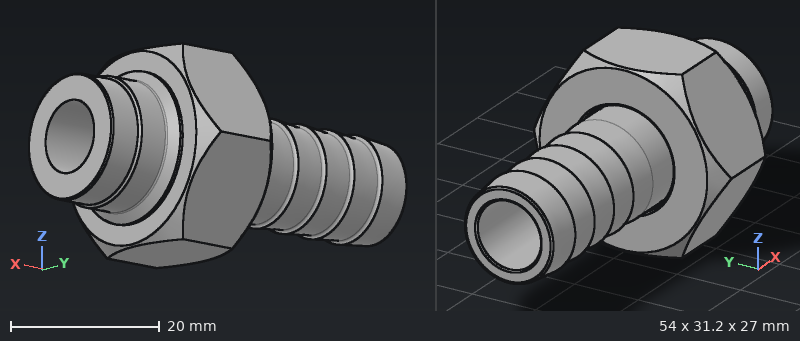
import cadquery as cq
import math

total_length = 54.0
bore_radius = 10.0 / 2
bore_chamfer = 0.25

barb_count = 5
barb_pitch = 4.95
barb_peak_radius = 15.0 / 2
barb_root_radius = 14.0 / 2
root_fillet_length = 0.45
tip_chamfer_length = 0.2
tip_chamfer_depth = 0.3

nut_start = 29.5
nut_length = 13.5
nut_end = nut_start + nut_length
across_flats = 27.0
across_corners = across_flats / math.cos(math.pi / 6)
nut_face_radius = 13.25
corner_clearance = 0.05
nut_hole_radius = 15.5 / 2
nut_hole_chamfer = 0.3
nut_wall = 3.25

collar_radius = 20.9 / 2
flange_start = nut_start + nut_wall
joint_x = flange_start + 3.25

collar_end = nut_end + 0.45
cone_slope = math.radians(50)
cone_blend_radius = 0.4
shoulder_radius = 18.0 / 2
shoulder_end = 49.0
spigot_radius = 17.2 / 2
shoulder_chamfer = shoulder_radius - spigot_radius
end_chamfer_length = 0.3
end_chamfer_depth = 0.15


def revolve_about_x(profile):
    """Revolve a closed (x, radius) profile around the X axis."""
    return profile.close().revolve(360, (0, 0, 0), (1, 0, 0))


def quarter_arc_middle(start, end):
    """Middle point of a hollow quarter arc that leaves start radially inward and reaches end along X."""
    reach = 1 - math.sqrt(0.5)
    return (
        start[0] + (end[0] - start[0]) * reach,
        end[1] + (start[1] - end[1]) * reach,
    )


def make_hose_stem():
    """Barbed tube with a flange that the nut pulls on."""
    profile = (
        cq.Workplane("XY")
        .moveTo(0, bore_radius + bore_chamfer)
        .lineTo(0, barb_root_radius - tip_chamfer_depth)
        .lineTo(tip_chamfer_length, barb_root_radius)
    )
    for barb in range(1, barb_count):
        peak = (barb * barb_pitch, barb_peak_radius)
        root = (peak[0] + root_fillet_length, barb_root_radius)
        profile = profile.lineTo(*peak).threePointArc(quarter_arc_middle(peak, root), root)
    profile = (
        profile.lineTo(barb_count * barb_pitch, barb_peak_radius)
        .lineTo(flange_start, barb_peak_radius)
        .lineTo(flange_start, collar_radius)
        .lineTo(joint_x, collar_radius)
        .lineTo(joint_x, bore_radius)
        .lineTo(bore_chamfer, bore_radius)
    )
    return revolve_about_x(profile)


def make_nut():
    """Hexagonal union nut, chamfered at 45 degrees on both ends, with corners on the Y axis."""
    hexagon = (
        cq.Workplane("YZ").workplane(offset=nut_start).polygon(6, across_corners).extrude(nut_length)
    )
    corner_radius = across_corners / 2 + corner_clearance
    chamfer = corner_radius - nut_face_radius
    envelope = revolve_about_x(
        cq.Workplane("XY")
        .moveTo(nut_start, 0)
        .lineTo(nut_start, nut_face_radius)
        .lineTo(nut_start + chamfer, corner_radius)
        .lineTo(nut_end - chamfer, corner_radius)
        .lineTo(nut_end, nut_face_radius)
        .lineTo(nut_end, 0)
    )
    cavity = revolve_about_x(
        cq.Workplane("XY")
        .moveTo(nut_start, 0)
        .lineTo(nut_start, nut_hole_radius + nut_hole_chamfer)
        .lineTo(nut_start + nut_hole_chamfer, nut_hole_radius)
        .lineTo(flange_start, nut_hole_radius)
        .lineTo(flange_start, collar_radius)
        .lineTo(nut_end, collar_radius)
        .lineTo(nut_end, 0)
    )
    return hexagon.intersect(envelope).cut(cavity)


def make_tailpiece():
    """Collar inside the nut, cone, shoulder and plain spigot."""
    corner_x = collar_end + (collar_radius - shoulder_radius) / math.tan(cone_slope)
    setback = cone_blend_radius * math.tan(cone_slope / 2)
    cone_end = (
        corner_x - setback * math.cos(cone_slope),
        shoulder_radius + setback * math.sin(cone_slope),
    )
    profile = (
        cq.Workplane("XY")
        .moveTo(joint_x, bore_radius)
        .lineTo(joint_x, collar_radius)
        .lineTo(collar_end, collar_radius)
        .lineTo(*cone_end)
        .tangentArcPoint((corner_x + setback, shoulder_radius), relative=False)
        .lineTo(shoulder_end, shoulder_radius)
        .lineTo(shoulder_end + shoulder_chamfer, spigot_radius)
        .lineTo(total_length - end_chamfer_length, spigot_radius)
        .lineTo(total_length, spigot_radius - end_chamfer_depth)
        .lineTo(total_length, bore_radius)
    )
    return revolve_about_x(profile)


hose_stem = make_hose_stem()
nut = make_nut()
tailpiece = make_tailpiece()

result = cq.Compound.makeCompound([hose_stem.val(), nut.val(), tailpiece.val()])